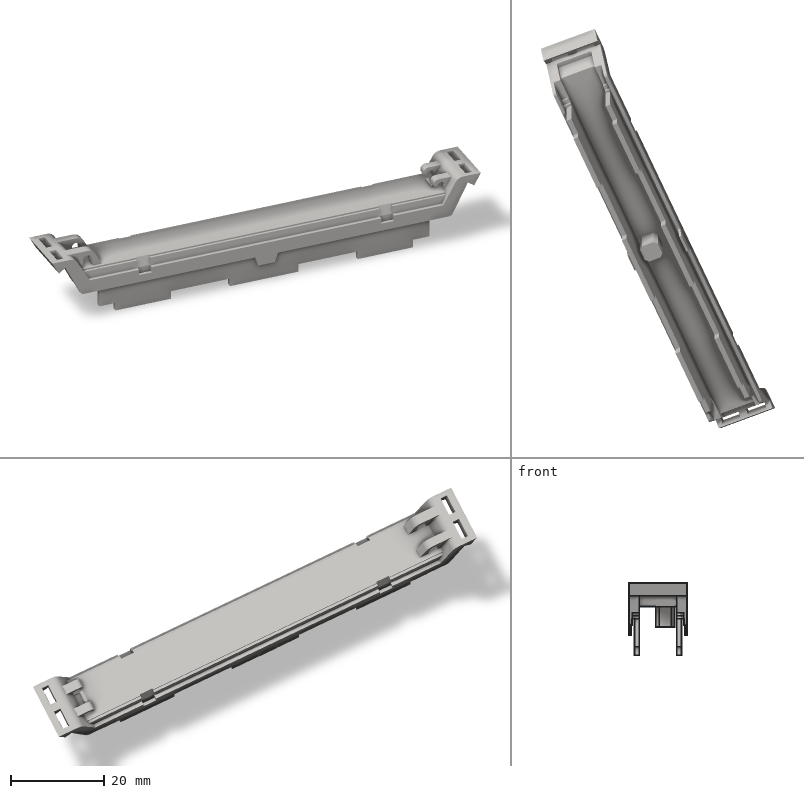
import cadquery as cq
import math

width = 12.5
length = 100.0
height = 15.5
half_width = width / 2
half_length = length / 2

lid_top = 11.65
body_top = 11.3
deck_underside = 10.4
ledge_z = 9.5
beam_bottom = 6.45
web_shoulder = 1.85

slope = math.tan(math.radians(60))
ledge_end = 41.25
crest_radius = 2.0
heel_y = 43.2
heel_radius = 1.0
barb_y, barb_z = 48.45, 12.75
notch_y, notch_z = 46.95, 13.8

skirt_thickness = 0.7
body_foot_half_width = 5.45
body_top_half_width = 5.3
lid_half_width = 4.75
web_outer = 5.05
web_inner = 4.0

web_half_length = 38.5
tooth_spans = ((-34.7, -21.8), (-8.0, 8.0), (21.8, 34.7))

rail_underside = 7.8
rail_end_steps = ((39.0, 8.5), (40.0, 9.1))

tongue_top, tongue_bottom = 2.65, 1.95
tongue_z = 4.3
tongue_thickness = 0.5

window_y = 28.25
window_length = 3.0
window_bottom = 8.2
window_top_inner = 4.45
window_foot_inner = 5.2
window_outer = 5.55

label_slot_spans = ((-5.05, -0.75), (1.0, 5.1))
label_slot_inner_y = 46.9
label_slot_outer_y = 48.4
label_slot_taper = 0.4

arm_relief = 1.0
arm_relief_top = 13.0

hook_spans = ((-3.7, -1.8), (1.8, 3.8))
hook_top = 14.6
hook_root = 0.5
hook_nose_radius = 1.0
hook_tip_width = 0.7
hook_tip_y, hook_tip_z = 40.2, 13.05
hook_throat_y, hook_throat_top = 42.6, 13.8
bracket_spans = ((-3.75, -1.9), (1.95, 4.1))
bracket_radius = 2.1
arch_radius = 1.0
arch_toe_y = -39.55
arch_centre_y, arch_centre_z = -40.9, height - bracket_radius

lip_half_width = 1.65
lip_back, lip_front = 41.15, 40.4
lip_top = 12.2
hollow_depth = 0.5

post_left, post_right = -0.5, 3.6
post_depth = 4.0
post_bottom = 6.05
post_chamfer = 0.75


def box(x0, x1, y0, y1, z0, z1):
    return cq.Workplane("XY").box(x1 - x0, y1 - y0, z1 - z0, centered=False).translate((x0, y0, z0))


def extrude_across(sketch, x0, x1):
    """Extrude a closed YZ sketch from x0 to x1."""
    return sketch.extrude(x1 - x0).translate((x0, 0, 0))


def extrude_lengthwise(outline, y0, y1):
    """Extrude a closed outline of (x, z) points from y0 to y1."""
    return cq.Workplane("XZ").polyline(outline).close().extrude(y0 - y1).translate((0, y0, 0))


def slope_y(z):
    """Distance from the middle to the inner face of an arm at level z."""
    return ledge_end + (z - ledge_z) / slope


def mirrored(solid):
    """Add the mirror copy on the other side of the part's X middle."""
    return solid.union(solid.mirror("YZ"))


def joined(solids):
    """Fuse a list of solids into one workplane."""
    total = solids[0]
    for solid in solids[1:]:
        total = total.union(solid)
    return total


def beam():
    half_outline = [
        (ledge_end, ledge_z),
        (slope_y(height), height),
        (half_length, height),
        (barb_y, barb_z),
        (notch_y, notch_z),
        (heel_y, beam_bottom),
    ]
    other_half = [(-y, z) for y, z in reversed(half_outline)]
    sketch = cq.Workplane("YZ").polyline(half_outline + other_half).close()
    solid = extrude_across(sketch, -half_width, half_width)
    for y, z, radius in ((slope_y(height), height, crest_radius), (heel_y, beam_bottom, heel_radius)):
        for side in (-1, 1):
            corner = cq.selectors.NearestToPointSelector((0, side * y, z))
            solid = solid.edges("|X").edges(corner).fillet(radius)
    return solid


def deck():
    """Raised body with leaning sides and a narrower lid; both ends run into the sloping arms."""
    end_y = slope_y(lid_top)
    right_side = [
        (body_foot_half_width, ledge_z),
        (body_top_half_width, body_top),
        (lid_half_width, body_top),
        (lid_half_width, lid_top),
    ]
    left_side = [(-x, z) for x, z in reversed(right_side)]
    return extrude_lengthwise(right_side + left_side, -end_y, end_y)


def underside_cavity():
    """Open space below the deck, stepping lower under the rails beside the skirts."""
    rail_outer = half_width - skirt_thickness
    parts = [box(-web_inner, web_inner, -half_length, half_length, 0, deck_underside)]
    parts.append(box(-rail_outer, rail_outer, -half_length, half_length, 0, rail_underside))
    for inner_y, level in rail_end_steps:
        for y0, y1 in ((-half_length, -inner_y), (inner_y, half_length)):
            parts.append(box(-rail_outer, rail_outer, y0, y1, 0, level))
    return joined(parts)


def webs():
    web = box(web_inner, web_outer, -web_half_length, web_half_length, web_shoulder, ledge_z)
    for y0, y1 in tooth_spans:
        web = web.union(box(web_inner, web_outer, y0, y1, 0, web_shoulder))
    return mirrored(web)


def tongues():
    outline = [
        (-tongue_top, beam_bottom),
        (-tongue_bottom, tongue_z),
        (tongue_bottom, tongue_z),
        (tongue_top, beam_bottom),
        (tongue_top, ledge_z),
        (-tongue_top, ledge_z),
    ]
    sketch = cq.Workplane("YZ").polyline(outline).close()
    return mirrored(extrude_across(sketch, half_width - tongue_thickness, half_width))


def window_cutter(y0, y1):
    """Slot pair with leaning inner walls that also lowers the skirts' top edges."""
    return mirrored(extrude_lengthwise([
        (window_top_inner, lid_top),
        (window_foot_inner, ledge_z),
        (window_foot_inner, rail_underside),
        (window_outer, rail_underside),
        (window_outer, window_bottom),
        (half_width, window_bottom),
        (half_width, lid_top),
    ], y0, y1))


def windows():
    cutters = []
    for side in (-1, 1):
        middle = side * window_y
        cutters.append(window_cutter(middle - window_length / 2, middle + window_length / 2))
    return joined(cutters)


def label_slots():
    """Slots through the end flanges whose outer wall leans inward towards the bottom."""
    outline = [
        (label_slot_inner_y, height),
        (label_slot_outer_y, height),
        (label_slot_outer_y - label_slot_taper, barb_z),
        (label_slot_inner_y, barb_z),
    ]
    slots = joined([
        extrude_across(cq.Workplane("YZ").polyline(outline).close(), x0, x1)
        for x0, x1 in label_slot_spans
    ])
    return slots.union(slots.mirror("XZ"))


def arm_reliefs():
    """Cutters that thin the middle of each arm, parallel to its outer face."""
    outer_slope = (notch_z - beam_bottom) / (notch_y - heel_y)
    top_y = heel_y + (arm_relief_top - beam_bottom) / outer_slope
    outline = [
        (heel_y, beam_bottom),
        (top_y, arm_relief_top),
        (top_y - arm_relief, arm_relief_top),
        (heel_y - arm_relief, beam_bottom),
    ]
    relief = extrude_across(cq.Workplane("YZ").polyline(outline).close(), -web_inner, web_inner)
    return relief.union(relief.mirror("XZ"))


def hooks():
    throat_mid_y = (hook_throat_y + hook_tip_y + hook_tip_width) / 2
    solids = []
    for x0, x1 in hook_spans:
        sketch = (
            cq.Workplane("YZ")
            .moveTo(slope_y(hook_top) + hook_root, hook_top)
            .lineTo(hook_tip_y + hook_nose_radius, hook_top)
            .radiusArc((hook_tip_y, hook_top - hook_nose_radius), -hook_nose_radius)
            .lineTo(hook_tip_y, hook_tip_z)
            .lineTo(hook_tip_y + hook_tip_width, hook_tip_z)
            .threePointArc((throat_mid_y, hook_throat_top), (hook_throat_y, hook_tip_z))
            .lineTo(hook_throat_y, lid_top)
            .lineTo(slope_y(lid_top) + hook_root, lid_top)
            .close()
        )
        solids.append(extrude_across(sketch, x0, x1))
    return joined(solids)


def brackets():
    """Arched brackets joining the flange at the -Y end to the deck."""
    lean = math.atan(slope)
    shoulder_y = arch_centre_y + bracket_radius * math.sin(lean)
    shoulder_z = arch_centre_z + bracket_radius * math.cos(lean)
    toe_y = shoulder_y + (shoulder_z - lid_top) / slope
    arch_back_y = arch_centre_y - arch_radius
    arch_front_y = arch_centre_y + arch_radius
    solids = []
    for x0, x1 in bracket_spans:
        outline = (
            cq.Workplane("YZ")
            .moveTo(-slope_y(height) - crest_radius, height)
            .lineTo(arch_centre_y, height)
            .radiusArc((shoulder_y, shoulder_z), bracket_radius)
            .lineTo(toe_y, lid_top)
            .lineTo(toe_y, body_top)
            .lineTo(-slope_y(body_top), body_top)
            .close()
        )
        arch = (
            cq.Workplane("YZ")
            .moveTo(arch_back_y, lid_top)
            .lineTo(arch_back_y, arch_centre_z)
            .threePointArc((arch_centre_y, arch_centre_z + arch_radius), (arch_front_y, arch_centre_z))
            .lineTo(arch_toe_y, lid_top)
            .close()
        )
        solids.append(extrude_across(outline, x0, x1).cut(extrude_across(arch, x0, x1)))
    return joined(solids)


def lip():
    return box(-lip_half_width, lip_half_width, lip_front, lip_back, body_top, lip_top)


def hollow():
    """Shallow rounded trough in the deck between the lip and the arm."""
    back = slope_y(lid_top)
    middle = (back + lip_back) / 2
    sketch = (
        cq.Workplane("YZ")
        .moveTo(lip_back, lid_top)
        .threePointArc((middle, lid_top - hollow_depth), (back, lid_top))
        .close()
    )
    return extrude_across(sketch, -lip_half_width, lip_half_width)


def post():
    solid = box(post_left, post_right, -post_depth / 2, post_depth / 2, post_bottom, deck_underside)
    return solid.edges("|Z").chamfer(post_chamfer)


result = beam().union(deck()).cut(underside_cavity())
result = result.union(webs()).union(tongues()).cut(windows()).cut(label_slots()).cut(arm_reliefs())
result = result.union(hooks()).union(brackets()).cut(hollow()).union(lip()).union(post())